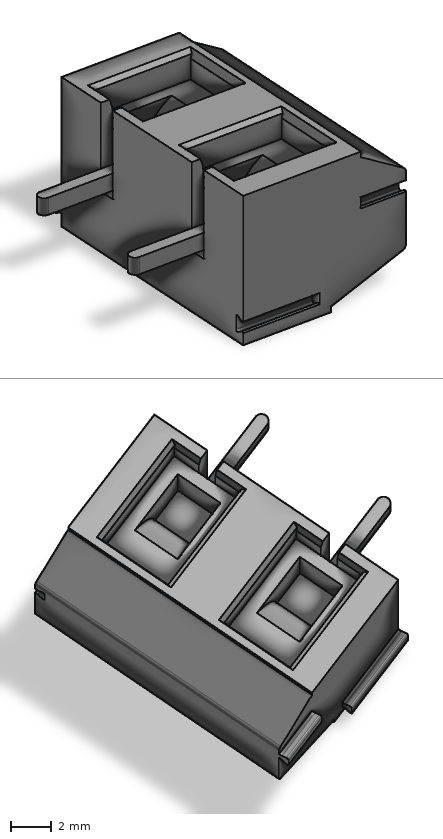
import cadquery as cq
import math


pole_pitch = 7.5
pole_count = 2
body_length = pole_pitch * pole_count
body_depth = 10.2
body_height = 8.6
top_depth = 7.38
bottom_depth = 5.5
step_height = 0.33
upper_slope = 30
lower_slope = 20.5
back_fillet = 0.3

pocket_front = 0.72
pocket_back = 6.79
pocket_width = 4.05
pocket_depth = 1.7
pocket_floor = body_height - pocket_depth
side_chamfer_width = 0.25
side_chamfer_depth = 0.25
end_chamfer_width = 0.17
end_chamfer_depth = 0.5

recess_width = 2.62
recess_front = 1.39
recess_back = 5.05
recess_depth = 2.42
recess_radius = 3.0
recess_edge_slope = 26

slot_width = 1.0
slot_bottom = 3.5
pin_width = 0.72
pin_height = 1.0
pin_bottom = 3.9
pin_reach = 4.29

rail_reach = 0.6
rail_root_half = 0.33
rail_neck_half = 0.28
rail_neck_reach = 0.08
rail_flank_half = 0.31
rail_flank_reach = 0.17
rail_head_half = 0.47
rail_head_reach = 0.44
rail_corner_half = 0.44
rail_corner_reach = 0.56
rail_end_half = 0.36
upper_rail_z = 5.65
lower_rail_z = 1.03
lower_rail_length = 4.79


def box(x_min, x_max, y_min, y_max, z_min, z_max):
    size = (x_max - x_min, y_max - y_min, z_max - z_min)
    return cq.Workplane("XY").box(*size, centered=False).translate((x_min, y_min, z_min))


def housing():
    upper_start = body_height - step_height
    upper_drop = (body_depth - top_depth) * math.tan(math.radians(upper_slope))
    lower_rise = (body_depth - bottom_depth) * math.tan(math.radians(lower_slope))
    outline = [
        (0, 0),
        (bottom_depth, 0),
        (bottom_depth, step_height),
        (body_depth, step_height + lower_rise),
        (body_depth, upper_start - upper_drop),
        (top_depth, upper_start),
        (top_depth, body_height),
        (0, body_height),
    ]
    block = cq.Workplane("YZ").polyline(outline).close().extrude(body_length)
    return block.edges("|X and >Y").fillet(back_fillet)


def rail(x, z, y_start, y_end):
    """Dovetail bar along Y, rooted at x and pointing towards -X."""
    profile = (
        cq.Workplane("XZ", origin=(x, y_start, z))
        .moveTo(0, rail_root_half)
        .threePointArc((-rail_neck_reach, rail_neck_half), (-rail_flank_reach, rail_flank_half))
        .lineTo(-rail_head_reach, rail_head_half)
        .threePointArc((-rail_corner_reach, rail_corner_half), (-rail_reach, rail_end_half))
        .lineTo(-rail_reach, -rail_end_half)
        .threePointArc((-rail_corner_reach, -rail_corner_half), (-rail_head_reach, -rail_head_half))
        .lineTo(-rail_flank_reach, -rail_flank_half)
        .threePointArc((-rail_neck_reach, -rail_neck_half), (0, -rail_root_half))
        .close()
    )
    return profile.extrude(y_start - y_end)


def rail_pair(x):
    upper = rail(x, upper_rail_z, top_depth, body_depth)
    lower = rail(x, lower_rail_z, 0, lower_rail_length)
    return upper.add(lower).combine()


def flared_channel(plane, start, end, chamfer_width, chamfer_depth):
    """Channel profile in the given upright plane, with its two top edges chamfered."""
    chamfer_z = body_height - chamfer_depth
    outline = [
        (start, pocket_floor),
        (end, pocket_floor),
        (end, chamfer_z),
        (end + chamfer_width, body_height),
        (start - chamfer_width, body_height),
        (start, chamfer_z),
    ]
    return cq.Workplane(plane).polyline(outline).close()


def screw_pocket(x):
    left = x - pocket_width / 2
    right = x + pocket_width / 2
    between_sides = flared_channel("XZ", left, right, side_chamfer_width, side_chamfer_depth)
    between_ends = flared_channel("YZ", pocket_front, pocket_back, end_chamfer_width, end_chamfer_depth)
    return between_sides.extrude(-body_depth).intersect(between_ends.extrude(body_length))


def recess(x):
    bottom_z = pocket_floor - recess_depth
    edge_angle = math.radians(recess_edge_slope)
    center_y = recess_back + recess_radius * math.sin(edge_angle)
    center_z = pocket_floor - recess_radius * math.cos(edge_angle)
    bottom_angle = math.acos((bottom_z - center_z) / recess_radius)

    def wall_point(angle):
        return (center_y - recess_radius * math.sin(angle), center_z + recess_radius * math.cos(angle))

    return (
        cq.Workplane("YZ", origin=(x - recess_width / 2, 0, 0))
        .moveTo(recess_front, bottom_z)
        .lineTo(*wall_point(bottom_angle))
        .threePointArc(wall_point((edge_angle + bottom_angle) / 2), (recess_back, pocket_floor))
        .lineTo(recess_front, pocket_floor)
        .close()
        .extrude(recess_width)
    )


def front_slot(x):
    return box(x - slot_width / 2, x + slot_width / 2, 0, pocket_front, slot_bottom, body_height)


def pin(x):
    """Flat bar along -Y with a full round tip."""
    half_width = pin_width / 2
    return (
        cq.Workplane("XY", origin=(x, 0, pin_bottom))
        .moveTo(-half_width, pocket_front)
        .lineTo(-half_width, half_width - pin_reach)
        .threePointArc((0, -pin_reach), (half_width, half_width - pin_reach))
        .lineTo(half_width, pocket_front)
        .close()
        .extrude(pin_height)
    )


result = housing().union(rail_pair(0)).cut(rail_pair(body_length))
for pole in range(pole_count):
    pole_x = (pole + 0.5) * pole_pitch
    result = result.cut(screw_pocket(pole_x)).cut(recess(pole_x)).cut(front_slot(pole_x))
    result = result.union(pin(pole_x))